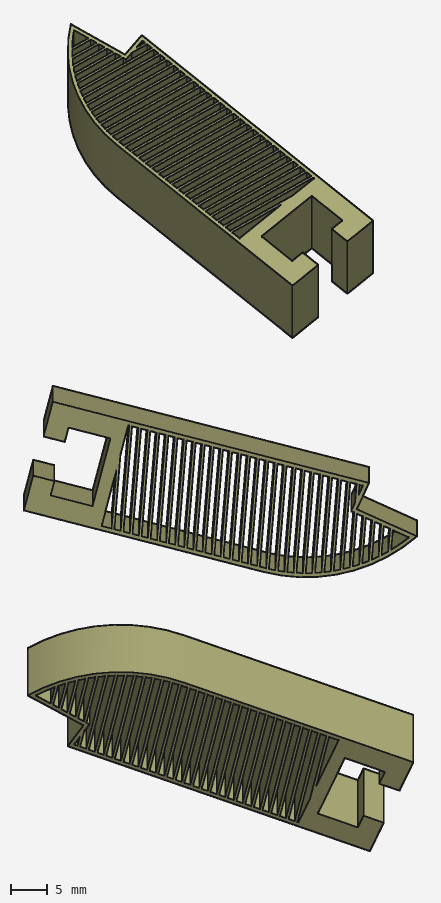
import cadquery as cq
import math

length = 52.8
width = 15.6
height = 12.0

nose_length = 19.0
tip_y = 10.08
nose_radius = (nose_length**2 + tip_y**2) / (2 * tip_y)
nose_angle = math.asin(nose_length / nose_radius)

tilt = math.radians(10)
notch_length = 8.9
notch_corner_y = tip_y + notch_length * math.tan(tilt)
notch_top_x = notch_length - (width - notch_corner_y) * math.tan(tilt)

wall = 0.6
rib_thickness = 0.39
rib_pitch = 1.282
rib_count = 31
first_rib_x = 1.83

block_length = 10.8
slot_depth = 8.9
slot_width = 9.7
lip_depth = 3.0
mouth_width = 5.6


def make_body():
    """Full outline of the part as a solid plate."""
    half_angle = nose_angle / 2
    arc_middle = (
        nose_length - nose_radius * math.sin(half_angle),
        nose_radius * (1 - math.cos(half_angle)),
    )
    return (
        cq.Workplane("XY")
        .moveTo(0, tip_y)
        .threePointArc(arc_middle, (nose_length, 0))
        .lineTo(length, 0)
        .lineTo(length, width)
        .lineTo(notch_top_x, width)
        .lineTo(notch_length, notch_corner_y)
        .close()
        .extrude(height)
    )


def make_cavity():
    """Inside of the thin shell, bounded by the end block."""
    inner_radius = nose_radius - wall
    arc_center_x = nose_length
    arc_center_y = nose_radius

    corner_x = notch_length + wall * math.cos(tilt) + wall * math.sin(tilt)
    corner_y = notch_corner_y + wall * math.sin(tilt) - wall * math.cos(tilt)
    top_y = width - wall
    top_x = corner_x - (top_y - corner_y) * math.tan(tilt)

    offset_x = arc_center_x - corner_x
    offset_y = arc_center_y - corner_y
    face_distance = offset_x * math.sin(tilt) - offset_y * math.cos(tilt)
    half_chord = math.sqrt(inner_radius**2 - face_distance**2)
    inner_tip_x = arc_center_x - face_distance * math.sin(tilt) - half_chord * math.cos(tilt)
    inner_tip_y = arc_center_y + face_distance * math.cos(tilt) - half_chord * math.sin(tilt)

    half_angle = math.asin((arc_center_x - inner_tip_x) / inner_radius) / 2
    arc_middle = (
        arc_center_x - inner_radius * math.sin(half_angle),
        arc_center_y - inner_radius * math.cos(half_angle),
    )
    block_x = length - block_length
    return (
        cq.Workplane("XY")
        .moveTo(inner_tip_x, inner_tip_y)
        .threePointArc(arc_middle, (nose_length, wall))
        .lineTo(block_x, wall)
        .lineTo(block_x, top_y)
        .lineTo(top_x, top_y)
        .lineTo(corner_x, corner_y)
        .close()
        .extrude(height)
    )


def make_rib(index):
    """One slanted rib spanning the full width of the part."""
    base_x = first_rib_x + index * rib_pitch
    top_shift = width * math.tan(tilt)
    half_run = rib_thickness / math.cos(tilt) / 2
    return (
        cq.Workplane("XY")
        .moveTo(base_x - half_run, 0)
        .lineTo(base_x + half_run, 0)
        .lineTo(base_x + half_run + top_shift, width)
        .lineTo(base_x - half_run + top_shift, width)
        .close()
        .extrude(height)
    )


def make_slot():
    """T-shaped slot through the height: wide chamber plus narrower mouth."""
    middle_y = width / 2
    chamber_length = slot_depth - lip_depth
    chamber = (
        cq.Workplane("XY")
        .center(length - lip_depth - chamber_length / 2, middle_y)
        .rect(chamber_length, slot_width)
        .extrude(height)
    )
    mouth = (
        cq.Workplane("XY")
        .center(length - slot_depth / 2, middle_y)
        .rect(slot_depth, mouth_width)
        .extrude(height)
    )
    return chamber.union(mouth)


openings = make_cavity()
for rib_index in range(rib_count):
    openings = openings.cut(make_rib(rib_index))

result = make_body().cut(openings).cut(make_slot())